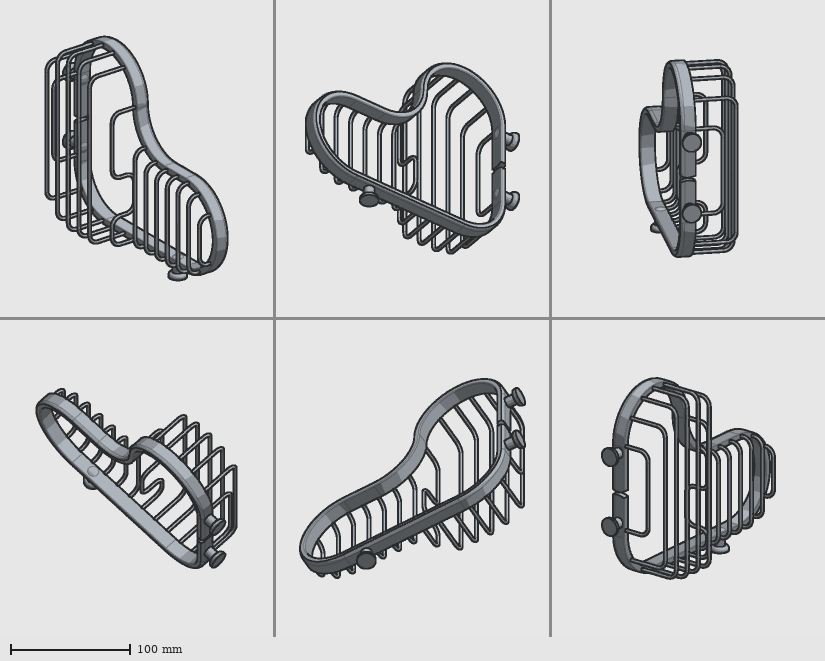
import cadquery as cq
import math

FRAME_LEFT = 12.8
FRAME_BOTTOM = 12.8
FRAME_RIGHT = 212.7
FRAME_TOP = 183.1
LOBE_RADIUS = 44.0
BAND_THICKNESS = 6.0
FRAME_BACK = -0.6
FRAME_FRONT = -13.6
BACK_ROUND = 4.0
BACK_FLAT = 0.9
INNER_BACK_ROUND = 0.9
FRONT_ROUND = 0.5

SPLIT_Z = 95.7
SPLIT_WIDTH = 2.8
SPLIT_CROWN_RADIUS = 14.9

WIRE_DIAMETER = 3.0
BEND_RADIUS = 8.5
WIRE_EMBED = 4.3
FIRST_WIRE_X = 23.0
LAST_WIRE_X = 203.0
DEEP_WIRES = 5
SHALLOW_WIRES = 7
WIRE_PITCH = (LAST_WIRE_X - FIRST_WIRE_X) / (DEEP_WIRES + SHALLOW_WIRES)
DEEP_Y = -49.8
MEDIUM_Y = -37.2
SHALLOW_Y = -24.5
SIDE_WIRE_BOTTOM = 62.7
RECESS_Y = -13.8
RECESS_TOP = 78.3
RECESS_BOTTOM = 42.3

FLANGE_DIAMETER = 16.0
FLANGE_THICKNESS = 4.7
FLANGE_ROUND = 3.2
STEM_DIAMETER = 9.4
DOME_HEIGHT = 0.9
KNOB_Y = -FLANGE_DIAMETER / 2
LEFT_KNOB_HEIGHTS = (132.7, 69.3)
BOTTOM_KNOB_X = 150.5

LEFT_X = FRAME_LEFT + LOBE_RADIUS
RIGHT_X = FRAME_RIGHT - LOBE_RADIUS
LOW_Z = FRAME_BOTTOM + LOBE_RADIUS
HIGH_Z = FRAME_TOP - LOBE_RADIUS
INNER_CORNER_RADIUS = HIGH_Z - (LOW_Z + LOBE_RADIUS)
INNER_CORNER_X = LEFT_X + LOBE_RADIUS + INNER_CORNER_RADIUS
MID_RADIUS = LOBE_RADIUS - BAND_THICKNESS / 2
MID_CORNER_RADIUS = INNER_CORNER_RADIUS + BAND_THICKNESS / 2


def loop_solid(inset, back):
    """Solid filled loop from y = back to the frame front, outline moved inwards by inset."""
    r = LOBE_RADIUS - inset
    corner = INNER_CORNER_RADIUS + inset
    diagonal = math.sqrt(0.5)
    return (
        cq.Workplane("XZ", origin=(0, back, 0))
        .moveTo(LEFT_X - r, LOW_Z)
        .lineTo(LEFT_X - r, HIGH_Z)
        .threePointArc((LEFT_X, HIGH_Z + r), (LEFT_X + r, HIGH_Z))
        .threePointArc(
            (INNER_CORNER_X - corner * diagonal, HIGH_Z - corner * diagonal),
            (INNER_CORNER_X, HIGH_Z - corner),
        )
        .lineTo(RIGHT_X, LOW_Z + r)
        .threePointArc((RIGHT_X + r, LOW_Z), (RIGHT_X, LOW_Z - r))
        .lineTo(LEFT_X, LOW_Z - r)
        .threePointArc((LEFT_X - r * diagonal, LOW_Z - r * diagonal), (LEFT_X - r, LOW_Z))
        .close()
        .extrude(back - FRAME_FRONT)
    )


def split_cutter():
    """Slot with concave top and bottom, so both band ends are left crowned."""
    mid_y = (FRAME_BACK + FRAME_FRONT) / 2
    half_depth = (FRAME_BACK - FRAME_FRONT) / 2
    sag = SPLIT_CROWN_RADIUS - math.sqrt(SPLIT_CROWN_RADIUS**2 - half_depth**2)
    crown = SPLIT_WIDTH / 2
    return (
        cq.Workplane("YZ", origin=(FRAME_LEFT, 0, 0))
        .moveTo(FRAME_FRONT, SPLIT_Z - crown - sag)
        .threePointArc((mid_y, SPLIT_Z - crown), (FRAME_BACK, SPLIT_Z - crown - sag))
        .lineTo(FRAME_BACK, SPLIT_Z + crown + sag)
        .threePointArc((mid_y, SPLIT_Z + crown), (FRAME_FRONT, SPLIT_Z + crown + sag))
        .close()
        .extrude(BAND_THICKNESS)
    )


def make_frame():
    round_back = FRAME_BACK + BACK_FLAT
    rounded = loop_solid(0, round_back).faces(">Y").edges().fillet(BACK_ROUND)
    frame = rounded.intersect(loop_solid(0, FRAME_BACK))
    frame = frame.cut(loop_solid(BAND_THICKNESS, FRAME_BACK))
    frame = frame.faces("<Y").edges().fillet(FRONT_ROUND)
    inner_back_edges = frame.faces(">Y").val().innerWires()[0].Edges()
    frame = frame.newObject(inner_back_edges).fillet(INNER_BACK_ROUND)
    return frame.cut(split_cutter())


def band_top(x):
    """Height of the upper band centreline at x."""
    if x <= LEFT_X + MID_RADIUS:
        return HIGH_Z + math.sqrt(MID_RADIUS**2 - (x - LEFT_X) ** 2)
    if x <= INNER_CORNER_X:
        return HIGH_Z - math.sqrt(MID_CORNER_RADIUS**2 - (INNER_CORNER_X - x) ** 2)
    return LOW_Z + math.sqrt(MID_RADIUS**2 - max(0, x - RIGHT_X) ** 2)


def band_bottom(x):
    """Height of the lower band centreline at x."""
    offset = max(0, LEFT_X - x, x - RIGHT_X)
    return LOW_Z - math.sqrt(MID_RADIUS**2 - offset**2)


def bent_wire(x, corners):
    """Round wire at x through (y, z) corners, every corner bent to BEND_RADIUS."""
    start = (FRAME_FRONT + WIRE_EMBED, corners[0][1])
    end = (FRAME_FRONT + WIRE_EMBED, corners[-1][1])
    points = [start, *corners, end]
    path = cq.Workplane("YZ", origin=(x, 0, 0)).moveTo(*start)
    for before, corner, after in zip(points, points[1:], points[2:]):
        corner = cq.Vector(*corner)
        to_before = (cq.Vector(*before) - corner).normalized()
        to_after = (cq.Vector(*after) - corner).normalized()
        bend_start = corner + to_before * BEND_RADIUS
        bend_end = corner + to_after * BEND_RADIUS
        bend_middle = corner + (to_before + to_after) * (BEND_RADIUS * (1 - math.sqrt(0.5)))
        path = path.lineTo(bend_start.x, bend_start.y)
        path = path.threePointArc((bend_middle.x, bend_middle.y), (bend_end.x, bend_end.y))
    path = path.lineTo(*end)
    profile = cq.Workplane("XZ", origin=(x, start[0], start[1])).circle(WIRE_DIAMETER / 2)
    return profile.sweep(path)


def make_wires():
    wires = []

    side_x = FRAME_LEFT + BAND_THICKNESS / 2
    wires.append(bent_wire(side_x, [(MEDIUM_Y, HIGH_Z), (MEDIUM_Y, SIDE_WIRE_BOTTOM)]))

    first_shallow = DEEP_WIRES + 1
    deep = [(i, DEEP_Y) for i in range(DEEP_WIRES)]
    shallow = [(first_shallow + i, SHALLOW_Y) for i in range(SHALLOW_WIRES)]
    for index, y in deep + shallow:
        x = FIRST_WIRE_X + index * WIRE_PITCH
        wires.append(bent_wire(x, [(y, band_top(x)), (y, band_bottom(x))]))

    step_x = LEFT_X + MID_RADIUS
    stepped_corners = [
        (MEDIUM_Y, band_top(step_x)),
        (MEDIUM_Y, RECESS_TOP),
        (RECESS_Y, RECESS_TOP),
        (RECESS_Y, RECESS_BOTTOM),
        (MEDIUM_Y, RECESS_BOTTOM),
        (MEDIUM_Y, band_bottom(step_x)),
    ]
    wires.append(bent_wire(step_x, stepped_corners))
    return wires


def make_knob():
    """Knob along +Z: rounded flange at z = 0 and a dome-ended stem through the band."""
    flange = cq.Workplane().circle(FLANGE_DIAMETER / 2).extrude(FLANGE_THICKNESS)
    flange = flange.faces(">Z").edges().fillet(FLANGE_ROUND)
    stem_end = FRAME_BOTTOM + BAND_THICKNESS
    stem_radius = STEM_DIAMETER / 2
    dome_radius = (stem_radius**2 + DOME_HEIGHT**2) / (2 * DOME_HEIGHT)
    dome_center = stem_end + DOME_HEIGHT - dome_radius
    dome_mid_r = stem_radius / 2
    stem = (
        cq.Workplane("XZ")
        .lineTo(stem_radius, 0)
        .lineTo(stem_radius, stem_end)
        .threePointArc(
            (dome_mid_r, dome_center + math.sqrt(dome_radius**2 - dome_mid_r**2)),
            (0, stem_end + DOME_HEIGHT),
        )
        .close()
        .revolve(360, (0, 0, 0), (0, 1, 0))
    )
    return flange.union(stem)


def make_knobs():
    knob = make_knob()
    side_knob = knob.rotate((0, 0, 0), (0, 1, 0), 90)
    knobs = [side_knob.translate((0, KNOB_Y, z)) for z in LEFT_KNOB_HEIGHTS]
    knobs.append(knob.translate((BOTTOM_KNOB_X, KNOB_Y, 0)))
    return knobs


result = make_frame()
for piece in make_wires() + make_knobs():
    result = result.union(piece)